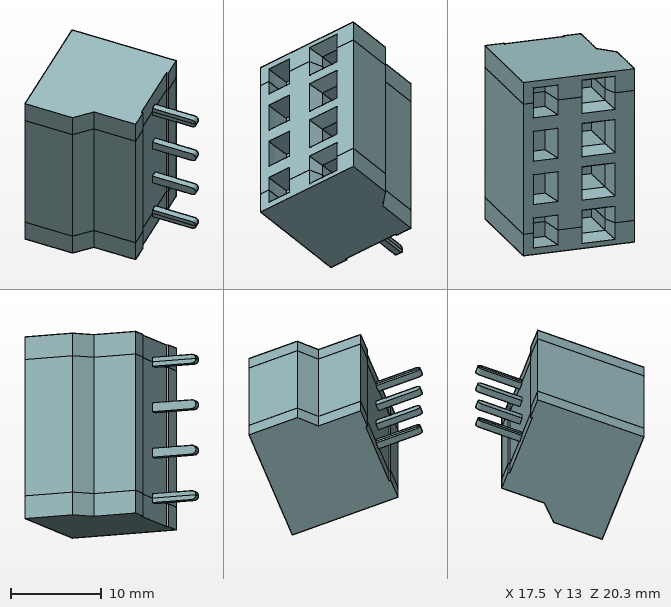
import cadquery as cq

length_z = 20.32
pole_count = 4
pole_pitch = length_z / pole_count

housing_x = 12.5
housing_y = 13.0
nose_x = 5.7
step_y = 1.79
foot_recess_depth = 0.2
foot_recess_start_y = 3.82
foot_recess_end_y = 10.8

wire_y = 4.23
wire_mouth = 3.88
wire_bore = 2.7
wire_funnel_depth = 1.58
wire_depth = 6.1
wire_bore_lean = 0.08

slot_top_y = 11.85
slot_bottom_y = 8.96
slot_z = 3.5
slot_depth = 3.0
slot_straight_depth = 1.14
slot_top_lean = 0.08
slot_bottom_lean = 0.43

pin_y = 7.27
pin_thickness = 0.75
pin_width = 1.0
pin_end_x = 17.5


def pole_z(index):
    """Centre height of one pole."""
    return (index + 0.5) * pole_pitch


def extrude_about(profile, z, height):
    """Prism of an XY profile, centred on height z."""
    plane = cq.Workplane("XY", origin=(0, 0, z - height / 2))
    return plane.polyline(profile).close().extrude(height)


def make_housing():
    """Plain housing: stepped front with a 45 degree ramp, shallow recess between two feet."""
    recess_x = housing_x - foot_recess_depth
    outline = [
        (0, 0),
        (nose_x, 0),
        (nose_x + step_y, step_y),
        (housing_x, step_y),
        (housing_x, foot_recess_start_y),
        (recess_x, foot_recess_start_y),
        (recess_x, foot_recess_end_y),
        (housing_x, foot_recess_end_y),
        (housing_x, housing_y),
        (0, housing_y),
    ]
    return extrude_about(outline, length_z / 2, length_z)


def make_wire_entry(z):
    """Cutter for the wire funnel and the bore behind it."""
    funnel = (
        cq.Workplane("YZ", origin=(0, wire_y, z))
        .rect(wire_mouth, wire_mouth)
        .workplane(offset=wire_funnel_depth)
        .rect(wire_bore, wire_bore)
        .loft(ruled=True)
    )
    bore_bottom_y = wire_y - wire_bore / 2
    bore_top_y = wire_y + wire_bore / 2
    profile = [
        (wire_funnel_depth, bore_bottom_y),
        (wire_depth, bore_bottom_y),
        (wire_depth, bore_top_y - wire_bore_lean),
        (wire_funnel_depth, bore_top_y),
    ]
    return funnel.union(extrude_about(profile, z, wire_bore))


def make_release_slot(z):
    """Cutter for the release slot."""
    profile = [
        (0, slot_bottom_y),
        (slot_depth, slot_bottom_y + slot_bottom_lean),
        (slot_depth, slot_top_y - slot_top_lean),
        (slot_straight_depth, slot_top_y),
        (0, slot_top_y),
    ]
    return extrude_about(profile, z, slot_z)


def make_pin(z):
    """Pin standing on the floor of the foot recess."""
    half_width = pin_width / 2
    root_x = housing_x - foot_recess_depth
    tip_x = pin_end_x - half_width
    return (
        cq.Workplane("XZ", origin=(0, pin_y + pin_thickness / 2, z))
        .moveTo(root_x, -half_width)
        .lineTo(tip_x, -half_width)
        .threePointArc((pin_end_x, 0), (tip_x, half_width))
        .lineTo(root_x, half_width)
        .close()
        .extrude(pin_thickness)
    )


def make_block():
    """The whole four-pole block before it is divided into modules."""
    block = make_housing()
    for index in range(pole_count):
        z = pole_z(index)
        block = block.cut(make_wire_entry(z))
        block = block.cut(make_release_slot(z))
        block = block.union(make_pin(z))
    return block


def make_module(block, bottom_z, top_z):
    """The part of the block between two heights."""
    span = cq.Workplane("XY", origin=(0, 0, bottom_z)).box(
        pin_end_x, housing_y, top_z - bottom_z, centered=False
    )
    return block.intersect(span).solids()


block = make_block()
first_split_z = pole_z(0)
last_split_z = pole_z(pole_count - 1)

bottom_end = make_module(block, 0, first_split_z)
middle = make_module(block, first_split_z, last_split_z)
top_end = make_module(block, last_split_z, length_z)

result = cq.Compound.makeCompound([bottom_end.val(), middle.val(), top_end.val()])